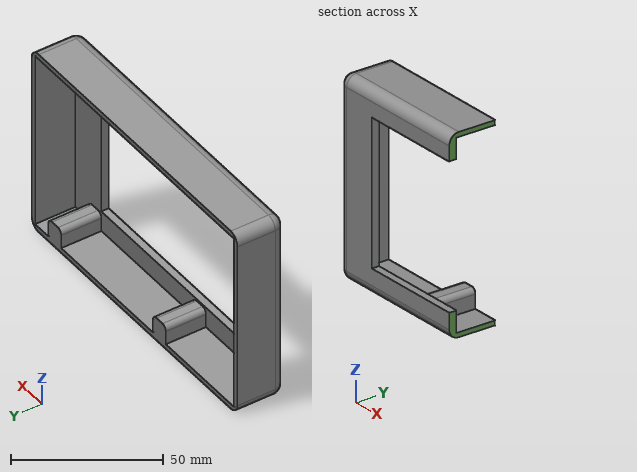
import cadquery as cq

length = 120.0
depth = 19.0
height = 75.0
edge_radius = 4.0

wall = 2.0
front_thickness = 3.0

window_length = 85.0
window_height = 55.0
window_left = 17.8
window_bottom = 10.2

rib_left_sides = (41.75, 102.75)
rib_width = 7.5
rib_height = 7.5
rib_radius = 2.0


def centred_block(size_x, size_z, y_start, y_end):
    """Block centred on the bezel in X and Z, running from y_start to y_end."""
    return cq.Workplane("XY").box(size_x, y_end - y_start, size_z).translate(
        (length / 2, (y_start + y_end) / 2, height / 2)
    )


def outer_body():
    """Solid bezel with rounded corners and a rounded front edge."""
    body = centred_block(length, height, 0, depth)
    return body.edges("|Y or <Y").fillet(edge_radius)


def support_rib(left_side):
    """Rib from the front panel to the open back, with rounded top edges."""
    rib = cq.Workplane("XY").box(
        rib_width, depth - front_thickness, rib_height, centered=False
    )
    rib = rib.edges("|Y and >Z").fillet(rib_radius)
    return rib.translate((left_side, front_thickness, wall))


cavity = centred_block(length - 2 * wall, height - 2 * wall, front_thickness, depth)
window = cq.Workplane("XY").box(window_length, front_thickness, window_height, centered=False)
window = window.translate((window_left, 0, window_bottom))

result = outer_body().cut(cavity).cut(window)
for left_side in rib_left_sides:
    result = result.union(support_rib(left_side))